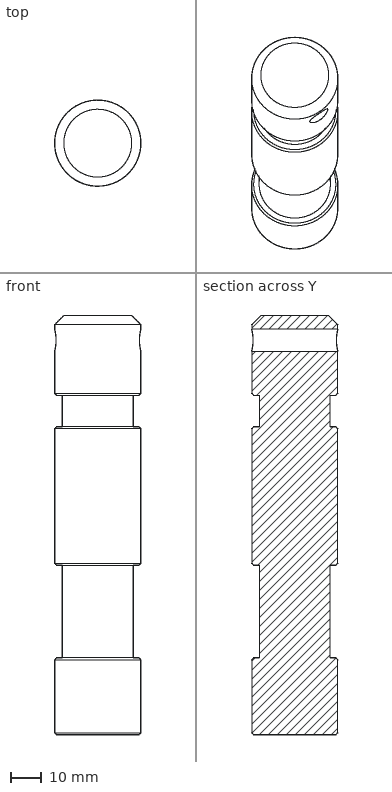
import cadquery as cq

length = 136.0
pin_radius = 14.0
neck_radius = 11.5

lower_neck_bottom = 25.0
lower_neck_top = 55.0
upper_neck_bottom = 100.0
upper_neck_top = 110.0

edge_chamfer = 0.7
tip_chamfer_height = 3.0
tip_chamfer_width = 3.0

hole_diameter = 7.1
hole_drop = 8.0


def land(bottom, top, top_width=edge_chamfer, top_height=edge_chamfer):
    """Full-diameter stretch of the pin with a chamfer at each end."""
    profile = [
        (0, bottom),
        (pin_radius - edge_chamfer, bottom),
        (pin_radius, bottom + edge_chamfer),
        (pin_radius, top - top_height),
        (pin_radius - top_width, top),
        (0, top),
    ]
    return cq.Workplane("XZ").polyline(profile).close().revolve(360, (0, 0), (0, 1))


core_height = upper_neck_top - lower_neck_bottom
core = cq.Workplane("XY").workplane(offset=lower_neck_bottom).circle(neck_radius).extrude(core_height)

foot = land(0, lower_neck_bottom)
middle = land(lower_neck_top, upper_neck_bottom)
head = land(upper_neck_top, length, tip_chamfer_width, tip_chamfer_height)

pin = core.union(foot).union(middle).union(head)

cross_hole = (
    cq.Workplane("YZ")
    .center(0, length - hole_drop)
    .circle(hole_diameter / 2)
    .extrude(pin_radius, both=True)
)

result = pin.cut(cross_hole)